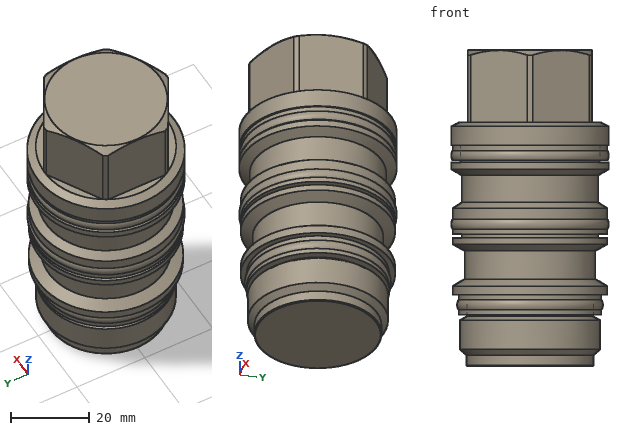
import cadquery as cq
import math

TOTAL_HEIGHT = 81.0

HEX_SIDES = 6
HEX_BASE_Z = 62.5
HEX_ACROSS_FLATS = 31.8
HEX_CORNER_RADIUS = 18.0
HEAD_TOP_RADIUS = 15.7
HEAD_CHAMFER_ANGLE = 30.0

BEAD_HEIGHT = 2.5
BEAD_BULGE = 0.4
SEAL_BAND_HEIGHT = 1.3
SEAL_HEIGHT = BEAD_HEIGHT + SEAL_BAND_HEIGHT

FLANGE_DIAMETER = 40.4
FLANGE_RADIUS = FLANGE_DIAMETER / 2
FLANGE_TOP_RADIUS = 18.0
LAND_RADIUS = FLANGE_RADIUS - BEAD_BULGE
UPPER_NECK_RADIUS = 17.5
LOWER_NECK_RADIUS = 16.8
LOWER_BAND_RADIUS = 18.3
SPIGOT_RADIUS = 18.0
NOSE_RADIUS = 16.3
NOSE_CHAMFER = 0.25
UPPER_GROOVE_RADIUS = 17.8
MIDDLE_GROOVE_RADIUS = UPPER_NECK_RADIUS
LOWER_GROOVE_RADIUS = 16.2

FLANGE_EDGE_Z = 61.4
UPPER_GROOVE_TOP_Z = 56.5
UPPER_GROOVE_BOTTOM_Z = 52.2
FLANGE_BOTTOM_Z = 50.45
UPPER_NECK_TOP_Z = 48.9
UPPER_NECK_BOTTOM_Z = 41.95
MIDDLE_LAND_TOP_Z = 40.5
MIDDLE_BEAD_TOP_Z = 37.65
MIDDLE_GROOVE_TOP_Z = 33.85
MIDDLE_GROOVE_BOTTOM_Z = 32.9
MIDDLE_LAND_BOTTOM_Z = 31.25
LOWER_NECK_TOP_Z = 29.55
LOWER_NECK_BOTTOM_Z = 22.35
LOWER_LAND_TOP_Z = 20.6
LOWER_LAND_BOTTOM_Z = 18.3
LOWER_GROOVE_TOP_Z = 17.0
LOWER_GROOVE_BOTTOM_Z = 12.8
SPIGOT_TOP_Z = 11.8
SPIGOT_BOTTOM_Z = 4.4
NOSE_TOP_Z = 2.8


def add_bead(profile, radius, top_z):
    """Extend a downward profile, now at (radius, top_z), by one rounded bead."""
    crest = (radius + BEAD_BULGE, top_z - BEAD_HEIGHT / 2)
    return profile.threePointArc(crest, (radius, top_z - BEAD_HEIGHT))


def revolve_about_z(profile):
    """Close an (radius, z) profile and turn it about the Z axis."""
    return profile.close().revolve(360, (0, 0, 0), (0, 1, 0))


def make_turned_body():
    """Flange, lands, necks, seal grooves, spigot and nose below the head."""
    profile = (
        cq.Workplane("XZ")
        .moveTo(0, HEX_BASE_Z)
        .lineTo(FLANGE_TOP_RADIUS, HEX_BASE_Z)
        .lineTo(FLANGE_RADIUS, FLANGE_EDGE_Z)
        .lineTo(FLANGE_RADIUS, UPPER_GROOVE_TOP_Z)
        .lineTo(UPPER_GROOVE_RADIUS, UPPER_GROOVE_TOP_Z)
        .lineTo(UPPER_GROOVE_RADIUS, UPPER_GROOVE_BOTTOM_Z)
        .lineTo(FLANGE_RADIUS, UPPER_GROOVE_BOTTOM_Z)
        .lineTo(FLANGE_RADIUS, FLANGE_BOTTOM_Z)
        .lineTo(UPPER_NECK_RADIUS, UPPER_NECK_TOP_Z)
        .lineTo(UPPER_NECK_RADIUS, UPPER_NECK_BOTTOM_Z)
        .lineTo(LAND_RADIUS, MIDDLE_LAND_TOP_Z)
        .lineTo(LAND_RADIUS, MIDDLE_BEAD_TOP_Z)
    )
    profile = (
        add_bead(profile, LAND_RADIUS, MIDDLE_BEAD_TOP_Z)
        .lineTo(LAND_RADIUS, MIDDLE_GROOVE_TOP_Z)
        .lineTo(MIDDLE_GROOVE_RADIUS, MIDDLE_GROOVE_TOP_Z)
        .lineTo(MIDDLE_GROOVE_RADIUS, MIDDLE_GROOVE_BOTTOM_Z)
        .lineTo(LAND_RADIUS, MIDDLE_GROOVE_BOTTOM_Z)
        .lineTo(LAND_RADIUS, MIDDLE_LAND_BOTTOM_Z)
        .lineTo(LOWER_NECK_RADIUS, LOWER_NECK_TOP_Z)
        .lineTo(LOWER_NECK_RADIUS, LOWER_NECK_BOTTOM_Z)
        .lineTo(LAND_RADIUS, LOWER_LAND_TOP_Z)
        .lineTo(LAND_RADIUS, LOWER_LAND_BOTTOM_Z)
        .lineTo(LOWER_BAND_RADIUS, LOWER_LAND_BOTTOM_Z)
        .lineTo(LOWER_BAND_RADIUS, LOWER_GROOVE_TOP_Z)
        .lineTo(LOWER_GROOVE_RADIUS, LOWER_GROOVE_TOP_Z)
        .lineTo(LOWER_GROOVE_RADIUS, LOWER_GROOVE_BOTTOM_Z)
        .lineTo(SPIGOT_RADIUS, SPIGOT_TOP_Z)
        .lineTo(SPIGOT_RADIUS, SPIGOT_BOTTOM_Z)
        .lineTo(NOSE_RADIUS, NOSE_TOP_Z)
        .lineTo(NOSE_RADIUS, NOSE_CHAMFER)
        .lineTo(NOSE_RADIUS - NOSE_CHAMFER, 0)
        .lineTo(0, 0)
    )
    return revolve_about_z(profile)


def make_hex_head():
    """Hexagonal prism with turned-down corners and a conical top chamfer."""
    across_corners = HEX_ACROSS_FLATS / math.cos(math.pi / HEX_SIDES)
    prism = (
        cq.Workplane("XY", origin=(0, 0, HEX_BASE_Z))
        .transformed(rotate=(0, 0, 180 / HEX_SIDES))
        .polygon(HEX_SIDES, across_corners)
        .extrude(TOTAL_HEIGHT - HEX_BASE_Z)
    )
    chamfer_width = HEX_CORNER_RADIUS - HEAD_TOP_RADIUS
    chamfer_drop = chamfer_width * math.tan(math.radians(HEAD_CHAMFER_ANGLE))
    turned_limit = revolve_about_z(
        cq.Workplane("XZ")
        .moveTo(0, HEX_BASE_Z)
        .lineTo(HEX_CORNER_RADIUS, HEX_BASE_Z)
        .lineTo(HEX_CORNER_RADIUS, TOTAL_HEIGHT - chamfer_drop)
        .lineTo(HEAD_TOP_RADIUS, TOTAL_HEIGHT)
        .lineTo(0, TOTAL_HEIGHT)
    )
    return prism.intersect(turned_limit)


def make_seal(inner_radius, band_radius, top_z, bead_on_top):
    """Seal ring seated on a groove floor: a bead and a plain band, one above the other."""
    bottom_z = top_z - SEAL_HEIGHT
    profile = (
        cq.Workplane("XZ")
        .moveTo(inner_radius, bottom_z)
        .lineTo(inner_radius, top_z)
        .lineTo(band_radius, top_z)
    )
    if bead_on_top:
        profile = add_bead(profile, band_radius, top_z).lineTo(band_radius, bottom_z)
    else:
        bead_top_z = top_z - SEAL_BAND_HEIGHT
        profile = add_bead(profile.lineTo(band_radius, bead_top_z), band_radius, bead_top_z)
    return revolve_about_z(profile)


plug = make_turned_body().union(make_hex_head())
upper_seal = make_seal(UPPER_GROOVE_RADIUS, LAND_RADIUS, UPPER_GROOVE_TOP_Z, bead_on_top=False)
lower_seal = make_seal(LOWER_GROOVE_RADIUS, LOWER_BAND_RADIUS, LOWER_GROOVE_TOP_Z, bead_on_top=True)

result = cq.Compound.makeCompound([plug.val(), upper_seal.val(), lower_seal.val()])